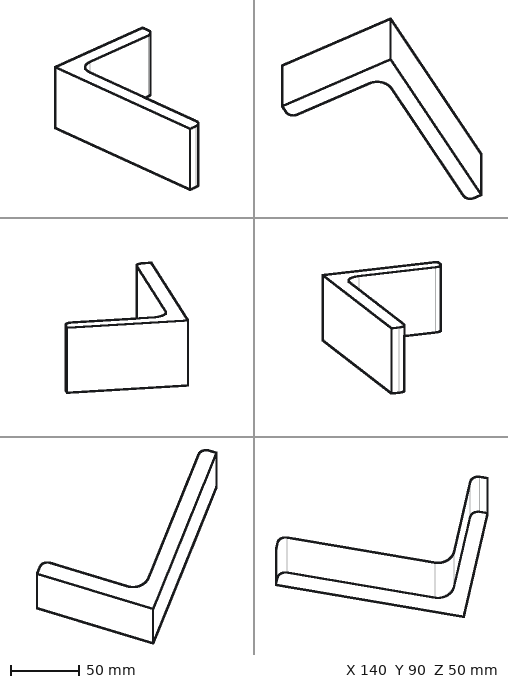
import cadquery as cq

long_leg = 140.0
short_leg = 90.0
height = 50.0
thickness = 12.0
root_radius = 12.0
toe_radius = root_radius / 2


def angle_section():
    """Sharp-cornered L section with its outer corner at the origin."""
    return (
        cq.Workplane("XY")
        .moveTo(0, 0)
        .lineTo(long_leg, 0)
        .lineTo(long_leg, thickness)
        .lineTo(thickness, thickness)
        .lineTo(thickness, short_leg)
        .lineTo(0, short_leg)
        .close()
        .extrude(height)
    )


def round_edge(body, x, y, radius):
    """Fillet the vertical edge that passes through (x, y)."""
    edge_finder = cq.NearestToPointSelector((x, y, height / 2))
    return body.edges("|Z").edges(edge_finder).fillet(radius)


result = angle_section()
result = round_edge(result, thickness, thickness, root_radius)
result = round_edge(result, long_leg, thickness, toe_radius)
result = round_edge(result, thickness, short_leg, toe_radius)